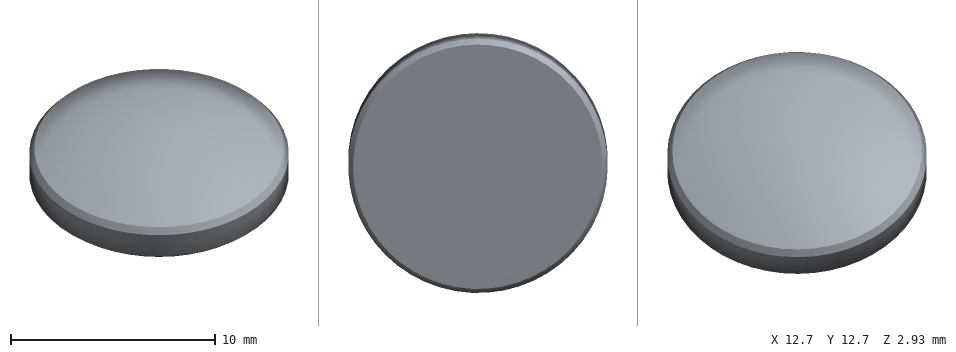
import cadquery as cq

diameter = 12.7
center_thickness = 2.93
bevel_width = 0.25
bottom_bevel_height = 0.25
top_bevel_height = 0.3
dome_rise = 1.05

rim_radius = diameter / 2
face_radius = rim_radius - bevel_width
dome_edge_z = center_thickness - dome_rise
sphere_radius = (face_radius**2 + dome_rise**2) / (2 * dome_rise)


def dome_height(radius):
    """Height of the spherical face at a distance from the lens axis."""
    sphere_center_z = center_thickness - sphere_radius
    return sphere_center_z + (sphere_radius**2 - radius**2) ** 0.5


def lens():
    """Revolve the half section of the lens about its axis."""
    mid_radius = face_radius / 2
    half_section = (
        cq.Workplane("XZ")
        .lineTo(face_radius, 0)
        .lineTo(rim_radius, bottom_bevel_height)
        .lineTo(rim_radius, dome_edge_z - top_bevel_height)
        .lineTo(face_radius, dome_edge_z)
        .threePointArc((mid_radius, dome_height(mid_radius)), (0, center_thickness))
        .close()
    )
    return half_section.revolve(360, (0, 0, 0), (0, 1, 0))


result = lens()